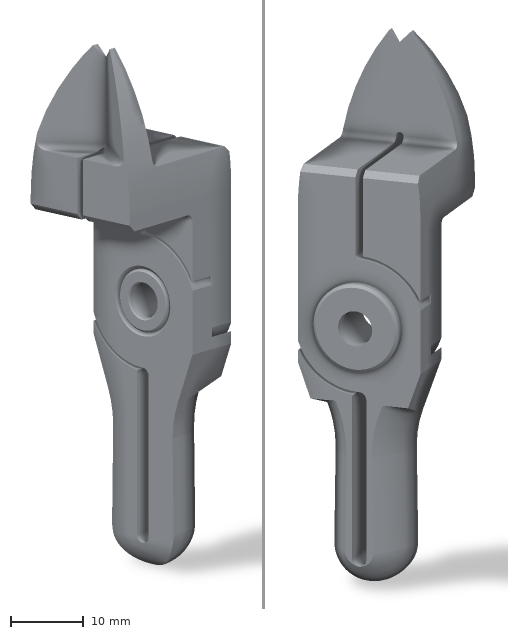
import cadquery as cq
import math


half_width = 9.0
plate_thickness = 8.2
lap_plane = plate_thickness / 2
disc_radius = 9.5
disc_gap = 0.5
reach = 100.0

jaw_front = -13.2
jaw_bottom = 14.0
jaw_top = 22.1
beak_depth = 5.5
beak_back = jaw_front + beak_depth
beak_notch_bottom = 36.42
beak_arc_start = 16.4
beak_arc_radius = 35.0
pocket_floor = 23.0
pocket_fillet = 1.0
jaw_edge = 1.0
jaw_back_chamfer = 0.9
beak_root_fillet = 0.9
blade_slope = math.tan(math.radians(35))
jaw_slot_width = 1.1
jaw_slot_top = 23.5

waist_x = 5.4
waist_z = -18.67
waist_radius = 15.2
flare_angle = math.radians(20)
end_radius = 5.6
end_center_z = -32.4
handle_slot_width = 2.1
handle_slot_bottom = -34.5
back_round_start = 1.6
back_round_radius = 7.9
back_round_rise = 0.36
toe_radius = 5.0
toe_center_z = -33.8

pin_radius = 4.5
pin_chamfer = 0.35
pin_bore_radius = 2.5
pin_bore_chamfer = 0.2
hole_countersink = 0.5
head_radius = 6.25
head_height = 1.6
head_chamfer = 0.4


def on_front(y=0.0):
    """Workplane facing -Y at depth y, with local x = X and local y = Z."""
    return cq.Workplane("XZ", origin=(0, y, 0))


def slab(x_min, x_max, y_min, y_max, z_min, z_max):
    """Box between the given limits."""
    corner = cq.Workplane("XY", origin=(x_min, y_min, z_min))
    return corner.box(x_max - x_min, y_max - y_min, z_max - z_min, centered=False)


waist_center_x = waist_x + waist_radius
beak_arc_center_x = half_width - beak_arc_radius
beak_arc_angle = math.acos(-beak_arc_center_x / beak_arc_radius)


def arc_point(center_x, center_z, radius, angle):
    return (center_x + radius * math.cos(angle), center_z + radius * math.sin(angle))


def waist_point(angle):
    """Point on the waist arc, angle measured up from its lower end."""
    return arc_point(waist_center_x, waist_z, waist_radius, math.pi - angle)


def end_point(angle):
    """Point on the round end of the handles."""
    return arc_point(0, end_center_z, end_radius, angle)


def beak_point(angle):
    """Point on the side of the beak, angle measured up from the straight side."""
    return arc_point(beak_arc_center_x, beak_arc_start, beak_arc_radius, angle)


flare_end_x, flare_end_z = waist_point(flare_angle)
flare_top_z = flare_end_z + (half_width - flare_end_x) / math.tan(flare_angle)


def make_outline():
    """Full-depth body with the front outline of the whole pliers."""
    right = (
        on_front(plate_thickness)
        .moveTo(*beak_point(beak_arc_angle))
        .threePointArc(beak_point(beak_arc_angle / 2), (half_width, beak_arc_start))
        .lineTo(half_width, flare_top_z)
        .lineTo(flare_end_x, flare_end_z)
        .threePointArc(waist_point(flare_angle / 2), (waist_x, waist_z))
        .lineTo(*end_point(0))
        .threePointArc(end_point(-math.pi / 4), end_point(-math.pi / 2))
        .close()
        .extrude(plate_thickness - jaw_front)
    )
    return right.union(right.mirror("YZ"))


def make_side_outline():
    """Full-width body with the stepped profile of shank, jaw and beak."""
    side = (
        cq.Workplane("YZ", origin=(-half_width, 0, 0))
        .polyline([
            (0, -reach),
            (0, jaw_bottom),
            (jaw_front, jaw_bottom),
            (jaw_front, reach),
            (beak_back, reach),
            (beak_back, jaw_top),
            (plate_thickness, jaw_top),
            (plate_thickness, -reach),
        ])
        .close()
        .extrude(2 * half_width)
    )

    def edge_at(y, z):
        margin = 0.1
        low_corner = (-reach, y - margin, z - margin)
        high_corner = (reach, y + margin, z + margin)
        return cq.selectors.BoxSelector(low_corner, high_corner)

    side = side.edges(edge_at(0, jaw_bottom)).fillet(jaw_edge)
    side = side.edges(edge_at(beak_back, jaw_top)).fillet(beak_root_fillet)
    side = side.edges(edge_at(jaw_front, jaw_bottom)).chamfer(jaw_edge)
    return side.edges(edge_at(plate_thickness, jaw_top)).chamfer(jaw_back_chamfer)


def make_blade_pocket():
    """Space in front of both cutting faces, with a filleted foot along each."""
    pocket_end = beak_back - blade_slope * 2 * half_width
    return (
        cq.Workplane("XY", origin=(0, 0, pocket_floor))
        .polyline([(0, beak_back), (2 * half_width, pocket_end), (-2 * half_width, pocket_end)])
        .close()
        .extrude(reach)
        .faces(">Y")
        .edges("<Z")
        .fillet(pocket_fillet)
    )


def make_tip_notch():
    """Right-angled notch between the two tips."""
    notch_top = beak_notch_bottom + half_width
    return (
        on_front(plate_thickness)
        .polyline([(0, beak_notch_bottom), (half_width, notch_top), (-half_width, notch_top)])
        .close()
        .extrude(plate_thickness - jaw_front)
    )


def make_slot(width, z_min, z_max):
    """Round-ended slot through the full depth."""
    return (
        on_front(plate_thickness)
        .center(0, (z_min + z_max) / 2)
        .slot2D(z_max - z_min, width, 90)
        .extrude(plate_thickness - jaw_front)
    )


def make_back_rounding():
    """Material outside the rounded back of the right handle."""
    back_angle = math.asin((plate_thickness - back_round_start) / back_round_radius)
    clear = 4.0
    start_angle = flare_angle + math.radians(12)
    start = waist_point(start_angle)

    def inset(angle):
        """Distance inside the outline, and Y, at an angle along the rounding arc."""
        return (back_round_radius * (1 - math.cos(angle)),
                back_round_start + back_round_radius * math.sin(angle))

    path = (
        cq.Workplane("XZ")
        .moveTo(*start)
        .threePointArc(waist_point(start_angle / 2), (waist_x, waist_z))
        .lineTo(*end_point(0))
        .threePointArc(end_point(-math.pi / 4), end_point(-math.pi / 2))
    )
    section_plane = cq.Plane(
        origin=(start[0], 0, start[1]),
        xDir=(-math.cos(start_angle), 0, math.sin(start_angle)),
        normal=(-math.sin(start_angle), 0, -math.cos(start_angle)),
    )
    return (
        cq.Workplane(section_plane)
        .moveTo(*inset(0))
        .threePointArc(inset(back_angle / 2), inset(back_angle))
        .lineTo(-clear, plate_thickness)
        .lineTo(-clear, back_round_start)
        .close()
        .sweep(path, transition="transformed")
    )


def make_toe_cutter():
    """Material outside the rounded front corner at the toe of the handles."""
    toe_length = 10.0
    block = slab(-half_width, half_width, 0, toe_radius, toe_center_z - toe_length, toe_center_z)
    core = (
        cq.Workplane("YZ", origin=(-half_width, toe_radius, toe_center_z))
        .circle(toe_radius)
        .extrude(2 * half_width)
    )
    return block.cut(core)


def make_back_round_limit():
    """Space below the sloping upper limit of the rounded backs."""
    limit_at_back = flare_end_z + back_round_rise * (plate_thickness - back_round_start)
    return (
        cq.Workplane("YZ", origin=(-reach / 2, 0, 0))
        .polyline([
            (back_round_start, flare_end_z),
            (plate_thickness, limit_at_back),
            (plate_thickness, -reach),
            (back_round_start, -reach),
        ])
        .close()
        .extrude(reach)
    )


def make_front_cone(radius, depth):
    """45-degree countersink from the front face down to the given radius."""
    cone = cq.Solid.makeCone(radius + depth, radius, depth, cq.Vector(0, 0, 0), cq.Vector(0, 1, 0))
    return cq.Workplane(cone)


def make_pivot_hole():
    """Hole for the pin through both halves."""
    hole = on_front(plate_thickness).circle(pin_radius).extrude(plate_thickness)
    return hole.union(make_front_cone(pin_radius, hole_countersink))


def make_pin():
    """Hollow pin with its head on the back of the plate."""
    shank = on_front(plate_thickness).circle(pin_radius).extrude(plate_thickness)
    shank = shank.faces("<Y").chamfer(pin_chamfer)
    head = on_front(plate_thickness + head_height).circle(head_radius).extrude(head_height)
    head = head.faces(">Y").chamfer(head_chamfer)
    bore_length = plate_thickness + head_height
    bore = on_front(bore_length).circle(pin_bore_radius).extrude(bore_length)
    return shank.union(head).cut(bore).cut(make_front_cone(pin_bore_radius, pin_bore_chamfer))


def make_pliers():
    """Both halves still joined, with everything but the lap joint."""
    rounding = make_back_rounding().intersect(make_back_round_limit())
    return (
        make_outline()
        .intersect(make_side_outline())
        .cut(make_blade_pocket())
        .cut(make_tip_notch())
        .cut(make_slot(jaw_slot_width, disc_radius, jaw_slot_top))
        .cut(make_slot(handle_slot_width, handle_slot_bottom, -disc_radius))
        .cut(rounding)
        .cut(rounding.mirror("YZ"))
        .cut(make_toe_cutter())
        .cut(make_pivot_hole())
    )


def make_half(pliers, jaw_side, layer_start):
    """One half: its jaw on jaw_side (+1 or -1), its disc in the layer from layer_start."""
    other_layer_start = lap_plane - layer_start

    def layer_disc(radius, start):
        return on_front(start + lap_plane).circle(radius).extrude(lap_plane)

    def quadrant(side, z_min, z_max):
        x_min, x_max = sorted((0, side * half_width))
        return slab(x_min, x_max, jaw_front, plate_thickness, z_min, z_max)

    arms = quadrant(jaw_side, 0, reach).union(quadrant(-jaw_side, -reach, 0))
    arms = arms.cut(layer_disc(disc_radius + disc_gap, other_layer_start))
    return pliers.intersect(arms.union(layer_disc(disc_radius, layer_start))).solids()


pliers = make_pliers()
left_jaw_half = make_half(pliers, -1, 0)
right_jaw_half = make_half(pliers, 1, lap_plane)
pin = make_pin()

result = cq.Compound.makeCompound([left_jaw_half.val(), right_jaw_half.val(), pin.solids().val()])